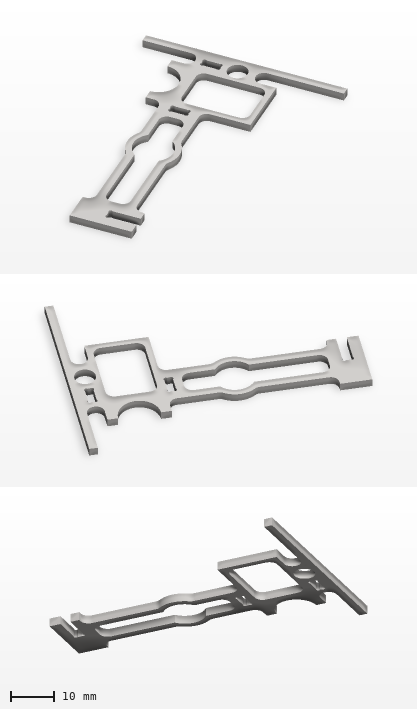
import cadquery as cq
import math

thickness = 2.0
overall_length = 68.1
corner_radius = 2.0

bar_length = 50.0
bar_width = 2.0
bar_center_x = 7.0

neck_left = -4.0
neck_right = 11.0
neck_flat = 0.1
neck_height = 2 * corner_radius + neck_flat

body_left = -9.0
body_right = 17.0
body_height = 15.0
body_top = -bar_width - neck_height
body_bottom = body_top - body_height
body_center_y = (body_top + body_bottom) / 2
side_notch_radius = 5.0

window_width = 17.0
window_height = 12.0
window_center_x = 7.0

hole_diameter = 5.0
hole_x = 6.5
neck_features_y = body_top + corner_radius

tab_slot_length = 4.7
tab_slot_width = 2.0
tab_slot_edge_gap = 0.5
lower_tab_slot_y = body_bottom - tab_slot_edge_gap - tab_slot_width / 2
relief_radius = 0.5

shank_width = 10.0
opening_width = 6.0
opening_body_gap = 4.5
opening_top = body_bottom - opening_body_gap
opening_length = 34.0

ring_body_distance = 16.5
ring_y = body_bottom - ring_body_distance
ring_outer_radius = 6.5
ring_inner_radius = 4.95

foot_width = 15.4
foot_height = 7.5
foot_bottom = -overall_length
foot_top = foot_bottom + foot_height
foot_slot_width = 2.5
foot_slot_rise = 4.0
foot_slot_y = foot_bottom + foot_slot_rise
foot_slot_end_x = 0.0


def block(left, right, bottom, top):
    """Full-thickness rectangular block between the given edges."""
    width = right - left
    height = top - bottom
    return cq.Workplane("XY").box(width, height, thickness, centered=False).translate((left, bottom, 0))


def disc(x, y, radius):
    """Full-thickness cylinder."""
    return cq.Workplane("XY").center(x, y).circle(radius).extrude(thickness)


def corner_fill(x, y, side_x, side_y):
    """Concave fillet in the inside corner at (x, y); the sides give the direction of the empty quadrant."""
    tip_x = x + side_x * corner_radius
    tip_y = y + side_y * corner_radius
    arc_offset = corner_radius * (1 - math.sqrt(0.5))
    return (
        cq.Workplane("XY")
        .moveTo(x, y)
        .lineTo(tip_x, y)
        .threePointArc((x + side_x * arc_offset, y + side_y * arc_offset), (x, tip_y))
        .close()
        .extrude(thickness)
    )


def corner_relief(x, y, side_x, side_y):
    """Relief circle through a slot corner; the sides point from the corner into the slot."""
    inset = relief_radius * math.sqrt(0.5)
    return disc(x + side_x * inset, y + side_y * inset, relief_radius)


def ring_blend(side_x, side_y):
    """Concave fillet tangent to the ring and to one side of the shank, above or below the ring."""
    half_shank = shank_width / 2
    center_x = half_shank + corner_radius
    center_distance = ring_outer_radius + corner_radius
    center_rise = math.sqrt(center_distance**2 - center_x**2)
    ring_share = ring_outer_radius / center_distance
    mid_angle = math.pi + math.atan2(center_rise, center_x) / 2
    mid_x = center_x + corner_radius * math.cos(mid_angle)
    mid_rise = center_rise + corner_radius * math.sin(mid_angle)

    def place(x, rise):
        """Point mirrored to the requested side of the ring."""
        return (side_x * x, ring_y + side_y * rise)

    return (
        cq.Workplane("XY")
        .moveTo(*place(0, 0))
        .lineTo(*place(0, center_rise))
        .lineTo(*place(half_shank, center_rise))
        .threePointArc(place(mid_x, mid_rise), place(center_x * ring_share, center_rise * ring_share))
        .close()
        .extrude(thickness)
    )


def tab_slot(center_y):
    """Small rectangular slot on the centreline with a relief in each corner."""
    half_length = tab_slot_length / 2
    half_width = tab_slot_width / 2
    slot = block(-half_length, half_length, center_y - half_width, center_y + half_width)
    for side_x in (-1, 1):
        for side_y in (-1, 1):
            relief = corner_relief(side_x * half_length, center_y + side_y * half_width, -side_x, -side_y)
            slot = slot.union(relief)
    return slot


def foot_slot():
    """Slot from the right edge of the foot, with reliefs in its two closed corners."""
    half_width = foot_slot_width / 2
    slot = block(foot_slot_end_x, foot_width / 2, foot_slot_y - half_width, foot_slot_y + half_width)
    for side_y in (-1, 1):
        slot = slot.union(corner_relief(foot_slot_end_x, foot_slot_y + side_y * half_width, 1, -side_y))
    return slot


def body_window():
    """Rounded rectangular opening in the body."""
    left = window_center_x - window_width / 2
    bottom = body_center_y - window_height / 2
    window = block(left, left + window_width, bottom, bottom + window_height)
    return window.edges("|Z").fillet(corner_radius)


def shank_opening():
    """Long rounded opening in the shank, widened by the bore of the ring."""
    half_width = opening_width / 2
    opening = block(-half_width, half_width, opening_top - opening_length, opening_top)
    opening = opening.edges("|Z").fillet(corner_radius)
    return opening.union(disc(0, ring_y, ring_inner_radius))


def outline():
    """Solid silhouette of the plate, with its concave fillets."""
    bar_left = bar_center_x - bar_length / 2
    half_shank = shank_width / 2
    half_foot = foot_width / 2
    plate = block(bar_left, bar_left + bar_length, -bar_width, 0)
    plate = plate.union(block(neck_left, neck_right, body_top, -bar_width))
    plate = plate.union(block(body_left, body_right, body_bottom, body_top))
    plate = plate.union(block(-half_shank, half_shank, foot_top, body_bottom))
    plate = plate.union(block(-half_foot, half_foot, foot_bottom, foot_top))
    plate = plate.union(disc(0, ring_y, ring_outer_radius))
    for neck_x, side_x in ((neck_left, -1), (neck_right, 1)):
        plate = plate.union(corner_fill(neck_x, -bar_width, side_x, -1))
        plate = plate.union(corner_fill(neck_x, body_top, side_x, 1))
    for side_x in (-1, 1):
        plate = plate.union(corner_fill(side_x * half_shank, body_bottom, side_x, -1))
        plate = plate.union(corner_fill(side_x * half_shank, foot_top, side_x, 1))
        for side_y in (-1, 1):
            plate = plate.union(ring_blend(side_x, side_y))
    return plate


cutouts = (
    disc(body_left, body_center_y, side_notch_radius),
    disc(hole_x, neck_features_y, hole_diameter / 2),
    body_window(),
    tab_slot(neck_features_y),
    tab_slot(lower_tab_slot_y),
    shank_opening(),
    foot_slot(),
)

result = outline()
for cutout in cutouts:
    result = result.cut(cutout)